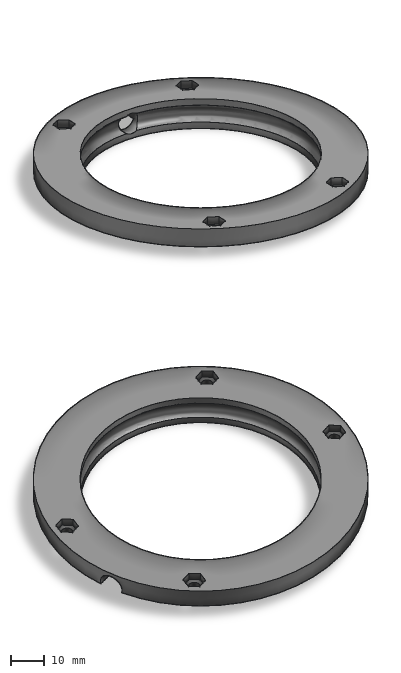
import cadquery as cq

flange_diameter = 100.0
hub_diameter = 80.0
bore_diameter = 72.0
total_height = 10.0
hub_height = 4.0

mid_height = total_height / 2
race_radius = 3.0
race_center_radius = 35.0
loading_outer_diameter = 7.6
loading_inner_diameter = 6.6

screw_spacing_x = 78.0
screw_spacing_y = 45.0
screw_diameter = 3.4
nut_across_corners = 6.7
nut_depth = 2.5


def make_ring():
    hub = cq.Workplane("XY").circle(hub_diameter / 2).extrude(hub_height)
    flange = (
        cq.Workplane("XY")
        .workplane(offset=hub_height)
        .circle(flange_diameter / 2)
        .extrude(total_height - hub_height)
    )
    bore = cq.Workplane("XY").circle(bore_diameter / 2).extrude(total_height)
    return hub.union(flange).cut(bore)


def make_ball_race():
    return (
        cq.Workplane("XZ")
        .center(race_center_radius, mid_height)
        .circle(race_radius)
        .revolve(360, (-race_center_radius, 0), (-race_center_radius, 1))
    )


def make_loading_hole():
    """Cone along X, from the flange rim on the -X side into the bore."""
    outer_x = -flange_diameter / 2
    return cq.Workplane(
        cq.Solid.makeCone(
            loading_outer_diameter / 2,
            loading_inner_diameter / 2,
            (flange_diameter - bore_diameter) / 2 + race_radius,
            cq.Vector(outer_x, 0, mid_height),
            cq.Vector(1, 0, 0),
        )
    )


def cut_nut_holes(body):
    """Screw holes through the flange with nut pockets sunk from the top face."""
    screws = cq.Workplane("XY").rect(screw_spacing_x, screw_spacing_y, forConstruction=True).vertices()
    holes = screws.circle(screw_diameter / 2).extrude(total_height)
    pockets = (
        cq.Workplane("XY")
        .workplane(offset=total_height - nut_depth)
        .rect(screw_spacing_x, screw_spacing_y, forConstruction=True)
        .vertices()
        .polygon(6, nut_across_corners)
        .extrude(nut_depth)
    )
    return body.cut(holes).cut(pockets)


ring = make_ring().cut(make_ball_race()).cut(make_loading_hole())
result = cut_nut_holes(ring)